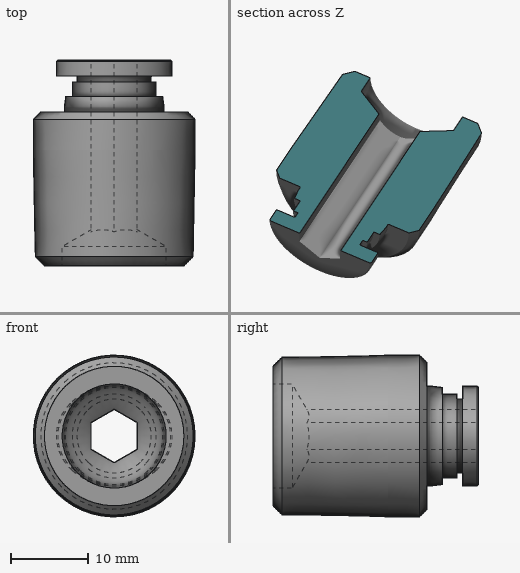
import cadquery as cq
import math

overall_length = 26.7

body_length = 20.0
body_diameter = 21.0
body_radius = body_diameter / 2
body_front_radius = 10.25
front_chamfer = 1.2
rear_chamfer = 1.0
taper_end = 15.0

seat_radius = 6.5
seat_end = 20.55
shoulder_radius = 6.3
shoulder_end = 22.0
collar_radius = 5.45
collar_end = 23.87
neck_radius = 4.8
neck_root_fillet = 0.1

flange_thickness = 2.05
flange_half_width = 7.5
flange_half_height = 6.5
flange_chamfer = 0.2

bore_radius = 6.75
bore_depth = 2.5
bore_tip_half_angle = 60.0
hex_across_flats = 5.98

flange_start = overall_length - flange_thickness


def make_revolved_solid(profile):
    """Turn a closed (radius, station) outline about the Y axis."""
    return cq.Workplane("XY").polyline(profile).close().revolve(360, (0, 0, 0), (0, 1, 0))


def make_body_and_stem():
    return make_revolved_solid([
        (0, 0),
        (body_front_radius - front_chamfer, 0),
        (body_front_radius, front_chamfer),
        (body_radius, taper_end),
        (body_radius, body_length - rear_chamfer),
        (body_radius - rear_chamfer, body_length),
        (seat_radius, body_length),
        (seat_radius, seat_end),
        (shoulder_radius, shoulder_end),
        (collar_radius, shoulder_end),
        (collar_radius, collar_end),
        (neck_radius, collar_end),
        (neck_radius, flange_start),
        (0, flange_start),
    ])


def make_flange():
    return (
        cq.Workplane("XZ", origin=(0, flange_start, 0))
        .ellipse(flange_half_width, flange_half_height)
        .extrude(-flange_thickness)
        .faces(">Y")
        .chamfer(flange_chamfer)
    )


def make_bore():
    tip_length = bore_radius / math.tan(math.radians(bore_tip_half_angle))
    return make_revolved_solid([
        (0, 0),
        (bore_radius, 0),
        (bore_radius, bore_depth),
        (0, bore_depth + tip_length),
    ])


def make_hex_hole():
    across_corners = hex_across_flats / math.cos(math.radians(30))
    corner_up = 90
    return (
        cq.Workplane("XZ")
        .polygon(6, across_corners)
        .extrude(-overall_length)
        .rotate((0, 0, 0), (0, 1, 0), corner_up)
    )


def fillet_neck_root(part):
    """Round the inside corner between the neck and the flange."""
    tolerance = 0.03
    corner_box = cq.selectors.BoxSelector(
        (-neck_radius - tolerance, flange_start - tolerance, -neck_radius - tolerance),
        (neck_radius + tolerance, flange_start + tolerance, neck_radius + tolerance),
        boundingbox=True,
    )
    return part.edges(corner_box).fillet(neck_root_fillet)


outer_shape = fillet_neck_root(make_body_and_stem().union(make_flange()))
result = outer_shape.cut(make_bore()).cut(make_hex_hole())